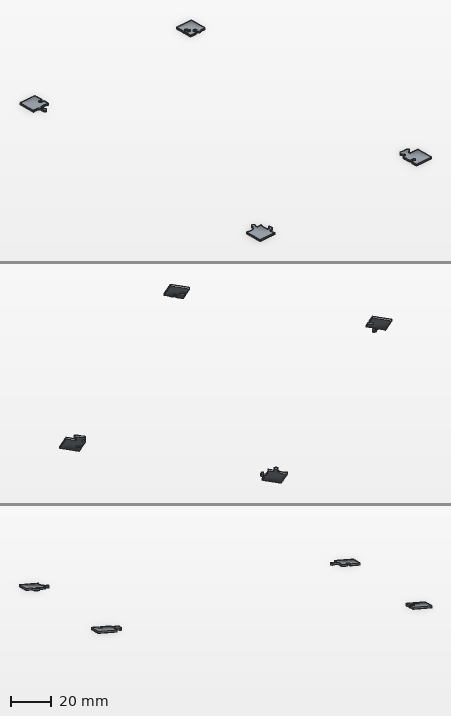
import cadquery as cq

LENGTH = 175.0
WIDTH = 115.0
THICKNESS = 1.0
PIECE = 10.0


BACK_LEFT_SIDE = {
    "points": [(3.3, 0.2), (4.2, 0.4), (5.0, -0.4), (4.5, -0.9), (4.4, -2.3),
               (6.0, -2.3), (6.1, -1.0), (5.8, 0.0)],
    "outer_bow": -0.2,
    "inner_bow": 0.4,
}
BACK_LEFT_END = {
    "points": [(6.1, 0.0), (6.0, -0.7), (4.5, -1.0), (4.2, -2.5), (5.2, -2.8),
               (6.3, -3.3), (6.8, -2.8), (7.2, -1.8), (6.8, -0.7), (6.6, 0.0)],
    "outer_bow": 0.0,
    "inner_bow": 0.0,
}

BACK_RIGHT_SIDE = {
    "points": [(4.9, 0.0), (5.2, 0.7), (4.9, 1.4), (3.8, 2.1), (3.2, 2.8), (3.8, 3.7),
               (6.1, 3.7), (8.4, 3.8), (9.1, 3.2), (9.0, 2.3), (8.2, 1.5), (8.0, 0.7), (8.2, 0.0)],
    "outer_bow": 0.0,
    "inner_bow": 0.0,
}
BACK_RIGHT_END = {
    "points": [(3.7, 0.0), (3.7, -1.0), (3.2, -2.0), (3.8, -2.8), (4.7, -2.8), (4.9, -1.8), (4.9, 0.0)],
    "outer_bow": 0.2,
    "inner_bow": 0.2,
}

FRONT_LEFT_SIDE = {
    "points": [(3.5, 0.0), (4.0, 0.5), (4.0, 1.5), (4.0, 2.8), (4.5, 3.7), (5.2, 3.7),
               (5.8, 2.6), (5.0, 1.5), (4.7, 0.5), (5.6, -0.4)],
    "outer_bow": -0.4,
    "inner_bow": -0.4,
}
FRONT_LEFT_END = {
    "points": [(5.0, 0.2), (5.0, -1.0), (5.0, -2.1), (6.5, -2.1), (6.6, -1.0), (6.6, 0.2)],
    "outer_bow": 0.0,
    "inner_bow": 0.0,
}

FRONT_RIGHT_SIDE = {
    "points": [(4.5, 0.0), (5.2, 0.7), (5.8, 1.5), (5.8, 2.6), (6.6, 3.2), (7.5, 2.6),
               (7.5, 1.5), (7.2, 0.7), (7.4, 0.0)],
    "outer_bow": -0.5,
    "inner_bow": 0.0,
}
FRONT_RIGHT_END = {
    "points": [(3.2, -0.4), (3.3, 0.5), (3.7, 1.4), (4.2, 2.1), (5.5, 2.1), (6.3, 2.0),
               (6.3, 1.4), (5.5, 1.0), (5.0, -0.4)],
    "outer_bow": -0.4,
    "inner_bow": -0.4,
}


def midpoint(start, end, bow):
    """Middle of the edge stretch from start to end, moved out by the bow."""
    return ((start[0] + end[0]) / 2, (start[1] + end[1]) / 2 + bow)


def stretch(outline, start, end, bow, place):
    """Add a straight or gently bowed stretch that ends at the given edge point."""
    if bow == 0:
        return outline.lineTo(*place(end))
    return outline.threePointArc(place(midpoint(start, end, bow)), place(end))


def cut_edge(outline, edge, place, outwards):
    """Add one cut edge, running from the outer side to the inner corner or back again."""
    points = edge["points"]
    start, end = (0, 0), (PIECE, 0)
    bows = (edge["outer_bow"], edge["inner_bow"])
    if not outwards:
        points = points[::-1]
        start, end = end, start
        bows = bows[::-1]
    outline = stretch(outline, start, points[0], bows[0], place)
    outline = outline.spline([place(point) for point in points[1:]], includeCurrent=True)
    return stretch(outline, points[-1], end, bows[1], place)


def corner_piece(x_sign, y_sign, side_edge, end_edge):
    """Piece at the layout corner on the given sides of X and Y, with its square corner outwards."""

    def in_layout(from_side, from_end):
        return (x_sign * (LENGTH / 2 - from_side), y_sign * (WIDTH / 2 - from_end))

    def on_side(point):
        along, out = point
        return in_layout(PIECE + out, along)

    def on_end(point):
        along, out = point
        return in_layout(along, PIECE + out)

    outline = cq.Workplane("XY").moveTo(*in_layout(0, 0)).lineTo(*in_layout(PIECE, 0))
    outline = cut_edge(outline, side_edge, on_side, True)
    outline = cut_edge(outline, end_edge, on_end, False)
    return outline.close().extrude(THICKNESS)


back_left_piece = corner_piece(-1, 1, BACK_LEFT_SIDE, BACK_LEFT_END)
back_right_piece = corner_piece(1, 1, BACK_RIGHT_SIDE, BACK_RIGHT_END)
front_left_piece = corner_piece(-1, -1, FRONT_LEFT_SIDE, FRONT_LEFT_END)
front_right_piece = corner_piece(1, -1, FRONT_RIGHT_SIDE, FRONT_RIGHT_END)

result = cq.Compound.makeCompound([
    back_left_piece.val(),
    back_right_piece.val(),
    front_left_piece.val(),
    front_right_piece.val(),
])